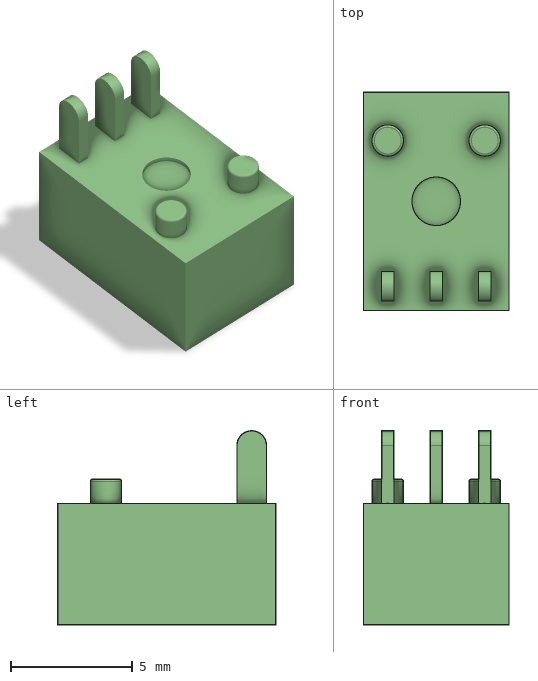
import cadquery as cq

body_width = 6.0
body_length = 9.0
body_height = 5.0

pitch = 2.0

pin_thickness = 0.5
pin_depth = 1.22
pin_height = 3.0
pin_y = -3.5

peg_diameter = 1.3
peg_height = 1.0
peg_edge_radius = 0.1
peg_y = 2.5

recess_diameter = 2.0
recess_depth = 0.2


def make_body():
    body = cq.Workplane("XY").box(body_width, body_length, body_height, centered=(True, True, False))
    return body.faces(">Z").workplane().hole(recess_diameter, recess_depth)


def make_pin(x):
    tip_radius = pin_depth / 2
    straight_top = body_height + pin_height - tip_radius
    return (
        cq.Workplane("YZ", origin=(x - pin_thickness / 2, pin_y, 0))
        .moveTo(-tip_radius, body_height)
        .lineTo(tip_radius, body_height)
        .lineTo(tip_radius, straight_top)
        .threePointArc((0, straight_top + tip_radius), (-tip_radius, straight_top))
        .close()
        .extrude(pin_thickness)
    )


def make_peg(x):
    peg = cq.Workplane("XY", origin=(x, peg_y, body_height)).circle(peg_diameter / 2).extrude(peg_height)
    return peg.faces(">Z").edges().fillet(peg_edge_radius)


result = make_body()
for pin_x in (-pitch, 0, pitch):
    result = result.union(make_pin(pin_x))
for peg_x in (-pitch, pitch):
    result = result.union(make_peg(peg_x))